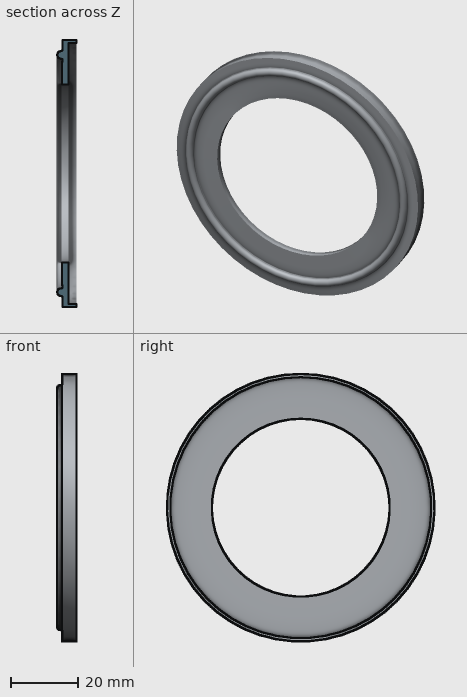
import cadquery as cq
import math

outer_radius = 39.75
bore_radius = 26.35
overall_thickness = 5.8

bead_centre_radius = 35.25
bead_height = 1.5
crown_radius = 1.2
flare_radius = 0.2

face_slope_degrees = 1.0

bore_length = 2.1
lip_thickness = 1.0

crown_top_x = -overall_thickness
crown_centre_x = crown_top_x + crown_radius
face_x = crown_top_x + bead_height
neck_x = face_x - flare_radius

crown_inner_radius = bead_centre_radius - crown_radius
crown_outer_radius = bead_centre_radius + crown_radius
foot_inner_radius = crown_inner_radius - flare_radius
foot_outer_radius = crown_outer_radius + flare_radius

bore_rise = (foot_inner_radius - bore_radius) * math.tan(math.radians(face_slope_degrees))
bore_front_x = face_x - bore_rise
recess_floor_x = bore_front_x + bore_length
recess_radius = outer_radius - lip_thickness


def ring_section():
    """Section of the ring above the axis, in the XZ plane with Z as the radius."""
    return (
        cq.Workplane("XZ")
        .moveTo(recess_floor_x, bore_radius)
        .lineTo(recess_floor_x, recess_radius)
        .lineTo(0, recess_radius)
        .lineTo(0, outer_radius)
        .lineTo(face_x, outer_radius)
        .lineTo(face_x, foot_outer_radius)
        .radiusArc((neck_x, crown_outer_radius), flare_radius)
        .lineTo(crown_centre_x, crown_outer_radius)
        .threePointArc((crown_top_x, bead_centre_radius), (crown_centre_x, crown_inner_radius))
        .lineTo(neck_x, crown_inner_radius)
        .radiusArc((face_x, foot_inner_radius), flare_radius)
        .lineTo(bore_front_x, bore_radius)
        .close()
    )


result = ring_section().revolve(360, (0, 0, 0), (1, 0, 0))